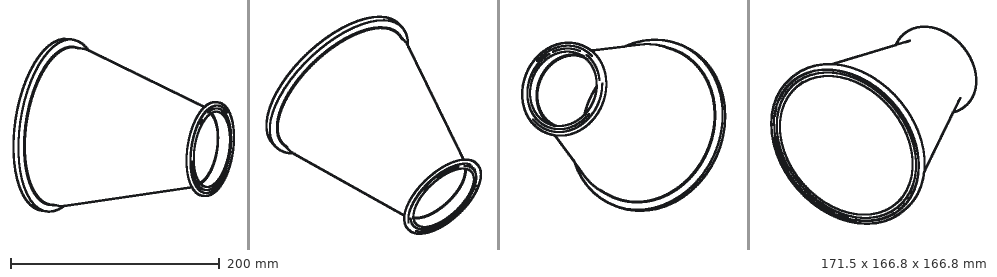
import cadquery as cq
import math

overall_length = 171.5
large_ferrule_length = 19.0
small_ferrule_length = 12.7
cone_end = overall_length - small_ferrule_length

large_outer_diameter = 152.5
large_bore_diameter = 147.0
small_outer_diameter = 76.1
small_bore_diameter = 72.9
cone_end_bore_diameter = small_outer_diameter - (large_outer_diameter - large_bore_diameter)

large_flange_diameter = 166.8
small_flange_diameter = 90.9
large_rim_width = 5.8
small_rim_width = 3.1
clamp_angle = math.radians(20.0)
rim_fillet = 0.7
root_fillet = 0.9

groove_radius = 1.5
groove_depth = 1.2
groove_edge_fillet = 0.5

edge_tolerance = 0.02


def revolve_about_x(profile):
    return profile.close().revolve(360, (0, 0, 0), (1, 0, 0))


def clamp_root(flange_diameter, tube_diameter, rim_width):
    """Distance from the end face to where the sloped back meets the tube."""
    slope_rise = (flange_diameter - tube_diameter) / 2
    return rim_width + slope_rise * math.tan(clamp_angle)


def edges_at(body, x, diameter):
    """Circular edges of the given diameter in the plane at x."""
    return body.edges("%CIRCLE").filter(
        lambda edge: abs(edge.Center().x - x) < edge_tolerance
        and abs(2 * edge.radius() - diameter) < edge_tolerance
    )


def make_outer_body():
    large_root = clamp_root(large_flange_diameter, large_outer_diameter, large_rim_width)
    small_root = clamp_root(small_flange_diameter, small_outer_diameter, small_rim_width)
    profile = (
        cq.Workplane("XY")
        .lineTo(0, large_flange_diameter / 2)
        .lineTo(large_rim_width, large_flange_diameter / 2)
        .lineTo(large_root, large_outer_diameter / 2)
        .lineTo(large_ferrule_length, large_outer_diameter / 2)
        .lineTo(cone_end, small_outer_diameter / 2)
        .lineTo(overall_length - small_root, small_outer_diameter / 2)
        .lineTo(overall_length - small_rim_width, small_flange_diameter / 2)
        .lineTo(overall_length, small_flange_diameter / 2)
        .lineTo(overall_length, 0)
    )
    body = revolve_about_x(profile)
    body = body.faces("<X or >X").edges().fillet(rim_fillet)
    small_rim_back = overall_length - small_rim_width
    body = edges_at(body, small_rim_back, small_flange_diameter).fillet(rim_fillet)
    body = edges_at(body, large_root, large_outer_diameter).fillet(root_fillet)
    small_root_x = overall_length - small_root
    return edges_at(body, small_root_x, small_outer_diameter).fillet(root_fillet)


def make_bore():
    profile = (
        cq.Workplane("XY")
        .lineTo(0, large_bore_diameter / 2)
        .lineTo(large_ferrule_length, large_bore_diameter / 2)
        .lineTo(cone_end, cone_end_bore_diameter / 2)
        .lineTo(cone_end, small_bore_diameter / 2)
        .lineTo(overall_length, small_bore_diameter / 2)
        .lineTo(overall_length, 0)
    )
    return revolve_about_x(profile)


def cut_groove(body, end_x, inward, flange_diameter, bore_diameter):
    """Sink a round-bottomed ring into the end face and round its two edges."""
    ring_radius = (flange_diameter + bore_diameter) / 4
    half_width = math.sqrt(groove_depth * (2 * groove_radius - groove_depth))
    inner_radius = ring_radius - half_width
    outer_radius = ring_radius + half_width
    section = (
        cq.Workplane("XY")
        .moveTo(end_x, inner_radius)
        .threePointArc((end_x + inward * groove_depth, ring_radius), (end_x, outer_radius))
    )
    body = body.cut(revolve_about_x(section))
    for radius in (inner_radius, outer_radius):
        body = edges_at(body, end_x, 2 * radius).fillet(groove_edge_fillet)
    return body


result = make_outer_body().cut(make_bore())
result = cut_groove(result, 0, 1, large_flange_diameter, large_bore_diameter)
result = cut_groove(result, overall_length, -1, small_flange_diameter, small_bore_diameter)